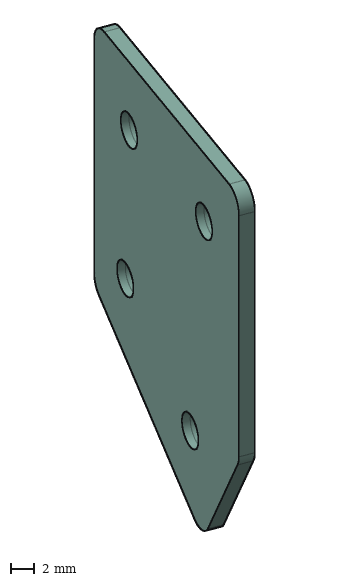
import cadquery as cq
import math

width = 29.0
thickness = 1.5
corner_radius = 2.0

hole_diameter = 3.3
hole_pitch = 15.0
edge_margin = 7.0
lower_tilt = math.radians(30)
lower_hole_x = -8.25
lower_hole_drop = 22.74

half_width = width / 2
along_row = (math.cos(lower_tilt), -math.sin(lower_tilt))
across_row = (-math.sin(lower_tilt), -math.cos(lower_tilt))

upper_left = (-half_width + edge_margin, -edge_margin)
upper_right = (upper_left[0] + hole_pitch, upper_left[1])
lower_left = (lower_hole_x, -lower_hole_drop)
lower_right = (
    lower_left[0] + hole_pitch * along_row[0],
    lower_left[1] + hole_pitch * along_row[1],
)
hole_centers = [upper_left, upper_right, lower_left, lower_right]

tip_x = lower_right[0] + edge_margin * (along_row[0] + across_row[0])
tip_z = lower_right[1] + edge_margin * (along_row[1] + across_row[1])

left_end_z = tip_z + (tip_x + half_width) * math.tan(lower_tilt)
right_end_z = tip_z + (half_width - tip_x) / math.tan(lower_tilt)


def make_plate():
    """Five-sided plate, centred on Y = 0, with rounded corners."""
    outline = [
        (-half_width, 0),
        (half_width, 0),
        (half_width, right_end_z),
        (tip_x, tip_z),
        (-half_width, left_end_z),
    ]
    plate = cq.Workplane("XZ").polyline(outline).close().extrude(thickness / 2, both=True)
    return plate.edges("|Y").fillet(corner_radius)


def make_holes():
    """Cylinders that pass through the full plate thickness."""
    sketch = cq.Workplane("XZ").pushPoints(hole_centers)
    return sketch.circle(hole_diameter / 2).extrude(thickness, both=True)


result = make_plate().cut(make_holes())